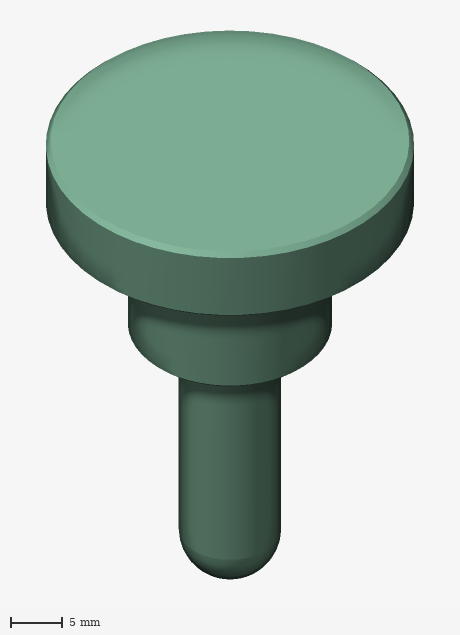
import cadquery as cq

total_height = 53.0
head_diameter = 36.0
head_height = 8.0
collar_diameter = 20.0
collar_height = 15.0
pin_diameter = 10.0
edge_chamfer = 0.5

pin_radius = pin_diameter / 2
head_bottom = total_height - head_height
collar_bottom = head_bottom - collar_height


def disc(diameter, height, bottom):
    """Cylinder on the Z axis, starting at the given level."""
    return cq.Workplane("XY").workplane(offset=bottom).circle(diameter / 2).extrude(height)


head = disc(head_diameter, head_height, head_bottom).edges().chamfer(edge_chamfer)

collar = disc(collar_diameter, collar_height, collar_bottom).faces("<Z").edges().chamfer(edge_chamfer)

shank = disc(pin_diameter, collar_bottom - pin_radius, pin_radius)
tip = cq.Workplane("XY").sphere(pin_radius).translate((0, 0, pin_radius))
pin = shank.union(tip)

result = head.union(collar).union(pin)